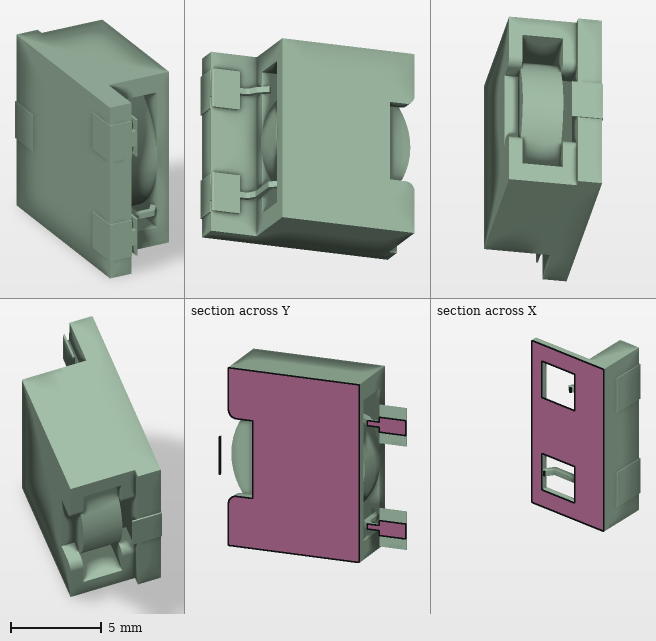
import cadquery as cq
import math

total_length = 11.25
height = 10.4
terminal_side = 0.08
terminal_face = 0.05
plate_length = total_length - 2 * terminal_side
plate_thickness = 1.35
body_depth = 5.15

block_length = 7.9
block_left = -5.07
block_right = block_left + block_length
window_width = 2.28
window_height = 8.21
wall_thickness = (body_depth - plate_thickness - window_width) / 2
window_front = plate_thickness + wall_thickness
window_back = window_front + window_width

notch_height = 4.5
notch_depth = 1.46
notch_rounding = 0.51

coil_bulge = 0.06
coil_radius = block_length / 2 + coil_bulge
coil_center = (block_left + block_right) / 2

pad_length = 2.06
pad_height = 2.22
pad_offset = 3.02
terminal_top = 1.7
tab_length = 1.64
tab_top = 1.73
tab_thickness = 0.12
tab_rounding = 0.1
solder_height = 0.9

wire = 0.33
lead_clearance = 0.03
lead_end = total_length / 2 - terminal_side
bend_start = 3.66
lead_bend_radius = 0.45
ramp_angle = math.radians(55)
lead_entry = 2.48
far_lead_turn = 3.96
entry_rise = 0.4


def box(x_min, x_max, y_min, y_max, z_height, z_center=0.0):
    """Box given by its X and Y limits and its height about z_center."""
    size_x = x_max - x_min
    size_y = y_max - y_min
    return cq.Workplane("XY").box(size_x, size_y, z_height).translate(
        ((x_min + x_max) / 2, (y_min + y_max) / 2, z_center)
    )


def make_body():
    """Base plate and winding block with its window and notched -X walls."""
    plate = box(-plate_length / 2, plate_length / 2, 0, plate_thickness, height)
    block = box(block_left, block_right, plate_thickness, body_depth, height)
    notch = box(block_left, block_left + notch_depth, plate_thickness, body_depth, notch_height)
    block = block.cut(notch)
    half_mouth = (notch_height + height) / 4
    mouth = cq.selectors.BoxSelector(
        (block_left - notch_rounding, 0, -half_mouth),
        (block_left + notch_rounding, body_depth, half_mouth),
    )
    block = block.edges("|Y").edges(mouth).fillet(notch_rounding)
    window = box(block_left, block_right, window_front, window_back, window_height)
    return plate.union(block.cut(window))


def make_coil():
    """Disc that fills the window from wall to wall."""
    disc = cq.Workplane("XZ").circle(coil_radius).extrude(-window_width)
    return disc.translate((coil_center, window_front, 0))


def make_single_terminal():
    """L-shaped sheet over the outer face and the -X end of the plate."""
    end = -total_length / 2
    face = box(end, end + pad_length, -terminal_face, 0, pad_height)
    side = box(end, end + terminal_side, -terminal_face, terminal_top, pad_height)
    return face.union(side)


def make_lead_terminal(z_center):
    """C-shaped terminal around the +X end of the plate, soldered to the lead under its tab."""
    end = total_length / 2
    tab_start = end - tab_length
    tab_bottom = tab_top - tab_thickness
    face = box(end - pad_length, end, -terminal_face, 0, pad_height, z_center)
    side = box(end - terminal_side, end, -terminal_face, plate_thickness, pad_height, z_center)
    solder = box(tab_start, end, plate_thickness, tab_bottom, solder_height, z_center)
    tab = box(tab_start, end, tab_bottom, tab_top, pad_height, z_center)
    tab = tab.edges("|Z and >X and >Y").edges(">Y").fillet(tab_rounding)
    return face.union(side).union(solder).union(tab)


def make_lead(z_center, reaches_far_side):
    """Square wire along the plate, ramped up beside the block and into the window."""
    run_y = plate_thickness + lead_clearance + wire / 2

    def on_bend(angle):
        """Point on the bend after the wire has turned by angle."""
        return (
            bend_start - lead_bend_radius * math.sin(angle),
            run_y + lead_bend_radius * (1 - math.cos(angle)),
        )

    ramp_start = on_bend(ramp_angle)

    def on_ramp(x):
        """Point at x on the straight ramp that follows the bend."""
        return (x, ramp_start[1] + (ramp_start[0] - x) * math.tan(ramp_angle))

    path = (
        cq.Workplane("XY")
        .moveTo(lead_end, run_y)
        .lineTo(bend_start, run_y)
        .threePointArc(on_bend(ramp_angle / 2), ramp_start)
    )
    riser_x = coil_center + coil_radius + wire / 2
    turn_y = on_ramp(riser_x)[1]
    path = path.lineTo(riser_x, turn_y)
    if reaches_far_side:
        turn_y = far_lead_turn
        path = path.lineTo(riser_x, turn_y)
    path = path.lineTo(lead_entry, turn_y + entry_rise)
    section = cq.Workplane("YZ", origin=(lead_end, run_y, 0)).rect(wire, wire)
    return section.sweep(path, transition="round").translate((0, 0, z_center))


result = make_body().union(make_coil()).union(make_single_terminal())
for z_center, reaches_far_side in ((pad_offset, False), (-pad_offset, True)):
    result = result.union(make_lead_terminal(z_center))
    result = result.union(make_lead(z_center, reaches_far_side))